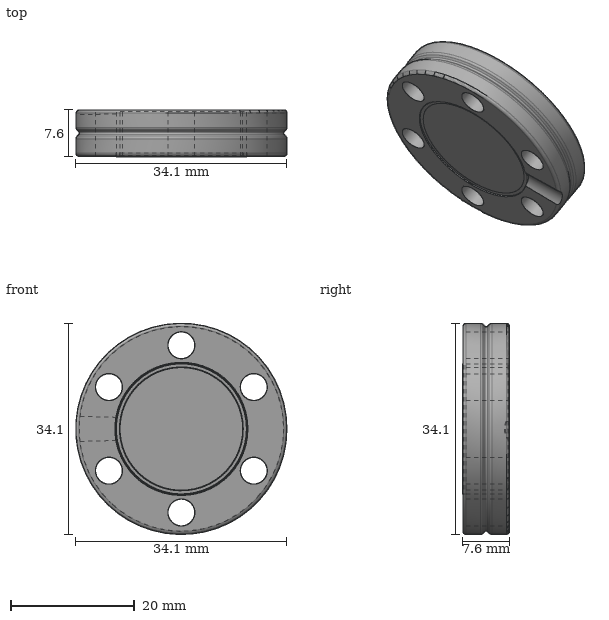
import cadquery as cq
import math


flange_radius = 17.05
flange_thickness = 7.5
rim_fillet = 0.5

ring_outer_radius = 10.5
ring_inner_radius = 9.9
ring_protrusion = 0.1
ring_back_recess = 0.25
window_front_recess = 0.25
bore_chamfer = 0.15

gap_width = 0.1
gap_floor_y = 0.5

bolt_count = 6
bolt_circle_radius = 13.5
bolt_hole_diameter = 4.3

groove_half_width = 0.67
groove_lip_radius = 0.6
groove_root_radius = 0.3

leak_slot_radius = 3.0
leak_slot_rim_depth = 0.8
leak_slot_bore_depth = 0.65
leak_slot_overrun = 3.0

groove_center_y = flange_thickness / 2
window_front_y = window_front_recess - ring_protrusion
ring_back_y = flange_thickness - ring_back_recess


def revolve_about_y(profile):
    """Turn a closed XY profile (radius, y) into a solid of revolution about Y."""
    return profile.revolve(360, (0, 0, 0), (0, 1, 0))


def tube(outer_radius, inner_radius, front_y, back_y):
    """A straight tube about the Y axis between two planes."""
    profile = (
        cq.Workplane("XY")
        .moveTo(inner_radius, front_y)
        .lineTo(outer_radius, front_y)
        .lineTo(outer_radius, back_y)
        .lineTo(inner_radius, back_y)
        .close()
    )
    return revolve_about_y(profile)


def rim_groove():
    """Cutter for the V groove, with its root and both lips rounded."""
    slope = math.pi / 4
    half_slope = slope / 2
    lip_tangent = groove_lip_radius * math.tan(half_slope)
    lip_edge = groove_half_width + lip_tangent
    lip_mid = lip_edge - groove_lip_radius * math.sin(half_slope)
    lip_mid_depth = groove_lip_radius * (1 - math.cos(half_slope))
    flank_top = groove_half_width - lip_tangent * math.cos(slope)
    flank_bottom = groove_root_radius * math.sin(slope)
    root_depth = groove_half_width - groove_root_radius * (1 / math.cos(slope) - 1)

    def flank_radius(offset):
        """Radius of the straight flank at a distance along Y from the groove centre."""
        return flange_radius - groove_half_width + offset

    profile = (
        cq.Workplane("XY", origin=(0, groove_center_y, 0))
        .moveTo(flange_radius, -lip_edge)
        .threePointArc((flange_radius - lip_mid_depth, -lip_mid), (flank_radius(flank_top), -flank_top))
        .lineTo(flank_radius(flank_bottom), -flank_bottom)
        .threePointArc((flange_radius - root_depth, 0), (flank_radius(flank_bottom), flank_bottom))
        .lineTo(flank_radius(flank_top), flank_top)
        .threePointArc((flange_radius - lip_mid_depth, lip_mid), (flange_radius, lip_edge))
        .lineTo(flange_radius + groove_half_width, lip_edge)
        .lineTo(flange_radius + groove_half_width, -lip_edge)
        .close()
    )
    return revolve_about_y(profile)


def bolt_holes():
    """Cutter for the bolt holes, the first one straight above the centre."""
    return (
        cq.Workplane("XZ")
        .polarArray(bolt_circle_radius, 90, 360, bolt_count)
        .circle(bolt_hole_diameter / 2)
        .extrude(-flange_thickness)
    )


def leak_slot():
    """Cutter for the slot, whose floor rises from the rim towards the bore."""
    rim_axis_y = flange_thickness - leak_slot_rim_depth + leak_slot_radius
    bore_axis_y = flange_thickness - leak_slot_bore_depth + leak_slot_radius
    rim_point = cq.Vector(-flange_radius, rim_axis_y, 0)
    bore_point = cq.Vector(-ring_outer_radius, bore_axis_y, 0)
    inward = (bore_point - rim_point).normalized()
    start = rim_point - inward * leak_slot_overrun
    length = (bore_point - rim_point).Length + 2 * leak_slot_overrun
    return cq.Workplane(cq.Solid.makeCylinder(leak_slot_radius, length, start, inward))


def front_gap(bore_radius, front_y):
    """Cutter that widens the front end of a bore by the gap width."""
    return tube(bore_radius + gap_width, bore_radius, front_y, gap_floor_y)


def make_flange():
    """Bolted flange with a grooved rim and an open bore."""
    flange = tube(flange_radius, ring_outer_radius, 0, flange_thickness)
    rim_edges = cq.selectors.RadiusNthSelector(-1)
    bore_edge = cq.selectors.RadiusNthSelector(0)
    flange = flange.edges(rim_edges).fillet(rim_fillet)
    flange = flange.cut(front_gap(ring_outer_radius, 0))
    flange = flange.faces("<Y").edges(bore_edge).chamfer(bore_chamfer)
    return flange.cut(rim_groove()).cut(bolt_holes()).cut(leak_slot())


def make_weld_ring():
    """Ring that stands slightly proud of the front face and stops short of the back face."""
    ring = tube(ring_outer_radius, ring_inner_radius, -ring_protrusion, ring_back_y)
    return ring.cut(front_gap(ring_inner_radius, -ring_protrusion))


def make_window():
    """Round window that fills the ring, set back from the front of the ring."""
    thickness = ring_back_y - window_front_y
    return (
        cq.Workplane("XZ", origin=(0, window_front_y, 0))
        .circle(ring_inner_radius)
        .extrude(-thickness)
    )


flange = make_flange()
weld_ring = make_weld_ring()
window = make_window()

result = cq.Compound.makeCompound([flange.val(), weld_ring.val(), window.val()])